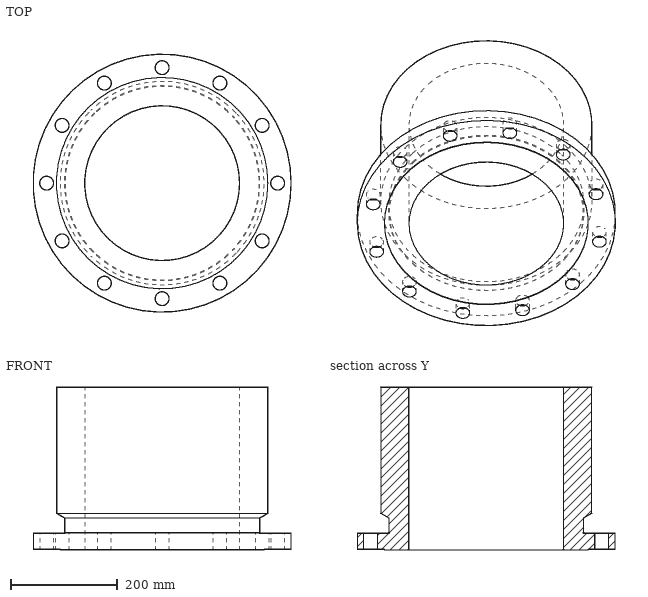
import math

import cadquery as cq

flange_diameter = 482.6
flange_thickness = 30.2
raised_face_diameter = 381.0
raised_face_height = 1.6

bolt_hole_count = 12
bolt_circle_diameter = 431.8
bolt_hole_diameter = 25.4

overall_height = 304.8
bore_diameter = 288.9
neck_diameter = 365.1
neck_bevel = 1.2
body_diameter = 395.0
body_base_height = 68.6
taper_angle = 30.0

flange_top = raised_face_height + flange_thickness
bore_radius = bore_diameter / 2
raised_face_radius = raised_face_diameter / 2
flange_radius = flange_diameter / 2
neck_radius = neck_diameter / 2
body_radius = body_diameter / 2
taper_height = (body_radius - neck_radius) * math.tan(math.radians(taper_angle))


def make_revolved_body():
    """Flange, raised face, neck and body as one solid of revolution about Z."""
    profile = [
        (bore_radius, 0),
        (raised_face_radius, 0),
        (raised_face_radius, raised_face_height),
        (flange_radius, raised_face_height),
        (flange_radius, flange_top),
        (neck_radius - neck_bevel, flange_top),
        (neck_radius, flange_top + neck_bevel),
        (neck_radius, body_base_height - taper_height),
        (body_radius, body_base_height),
        (body_radius, overall_height),
        (bore_radius, overall_height),
    ]
    return cq.Workplane("XZ").polyline(profile).close().revolve(360, (0, 0), (0, 1))


def make_bolt_holes():
    """Cylinders that pass through the flange on the bolt circle."""
    return (
        cq.Workplane("XY")
        .polarArray(bolt_circle_diameter / 2, 0, 360, bolt_hole_count)
        .circle(bolt_hole_diameter / 2)
        .extrude(flange_top)
    )


result = make_revolved_body().cut(make_bolt_holes())